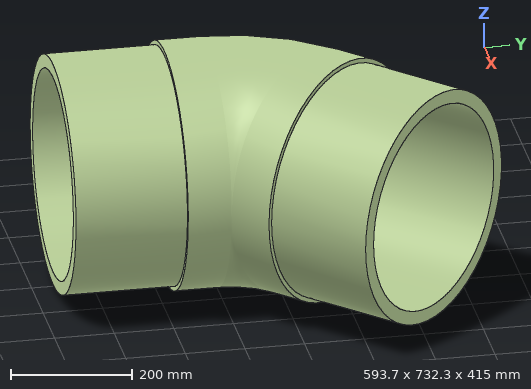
import cadquery as cq
import math

bend_angle = 45.0
body_bend_radius = 208.0
bore_bend_radius = 177.0
body_diameter = 415.0
pipe_diameter = 400.0
bore_diameter = 353.0
leg_length = 260.0
collar_length = 73.0


def tangent_length(bend_radius):
    """Distance from the crossing of the leg axes to either end of a bend."""
    return bend_radius * math.tan(math.radians(bend_angle / 2))


mouth_distance = leg_length + tangent_length(body_bend_radius)
axis_crossing = cq.Vector(0, mouth_distance, 0)
outward_directions = [
    cq.Vector(0, -1, 0),
    cq.Vector(math.sin(math.radians(bend_angle)), math.cos(math.radians(bend_angle)), 0),
]


def elbow(diameter, bend_radius, straight_length):
    """Solid round bar: a bend with a straight length at both ends."""
    bend_offset = tangent_length(bend_radius)
    bar = (
        cq.Workplane("XZ", origin=(0, mouth_distance - bend_offset, 0))
        .circle(diameter / 2)
        .revolve(bend_angle, (bend_radius, 0, 0), (bend_radius, -1, 0))
    )
    for direction in outward_directions:
        bend_end = axis_crossing + direction * bend_offset
        straight = cq.Solid.makeCylinder(diameter / 2, straight_length, bend_end, direction)
        bar = bar.union(cq.Workplane(straight))
    return bar


result = elbow(body_diameter, body_bend_radius, collar_length)

for direction in outward_directions:
    pipe_start = axis_crossing + direction * tangent_length(body_bend_radius)
    pipe = cq.Solid.makeCylinder(pipe_diameter / 2, leg_length, pipe_start, direction)
    result = result.union(cq.Workplane(pipe))

bore_leg_length = mouth_distance - tangent_length(bore_bend_radius)
result = result.cut(elbow(bore_diameter, bore_bend_radius, bore_leg_length))